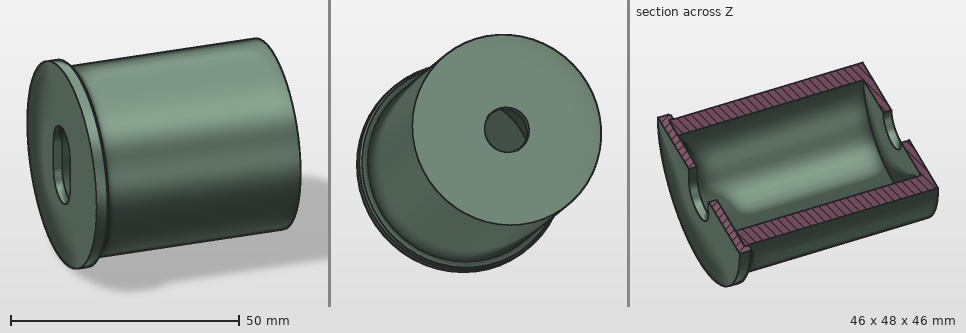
import cadquery as cq

total_length = 48.0
flange_diameter = 46.0
flange_thickness = 3.0
flange_chamfer = 0.55
face_thickness = 2.0
slot_width = 11.05
slot_height = 17.95
sleeve_diameter = 42.4
bore_diameter = 32.0
end_hole_diameter = 10.0
end_wall_thickness = 2.0


def cylinder(diameter, start, end):
    """Cylinder on the Y axis between two Y positions."""
    plane = cq.Workplane("XZ", origin=(0, start, 0))
    return plane.circle(diameter / 2).extrude(start - end)


def make_cap():
    """Flanged cap with a slot, and a rear recess that seats the sleeve."""
    flange = cylinder(flange_diameter, 0, flange_thickness)
    flange = flange.faces(">Y").edges().chamfer(flange_chamfer)
    seat = cylinder(sleeve_diameter, face_thickness, flange_thickness)
    slot = cq.Workplane("XZ").slot2D(slot_height, slot_width, 90).extrude(-face_thickness)
    return flange.cut(seat).cut(slot)


def make_sleeve():
    """Sleeve open toward the cap, with a central hole in its end wall."""
    body = cylinder(sleeve_diameter, face_thickness, total_length)
    bore = cylinder(bore_diameter, face_thickness, total_length - end_wall_thickness)
    end_hole = cylinder(end_hole_diameter, total_length - end_wall_thickness, total_length)
    return body.cut(bore).cut(end_hole)


cap = make_cap()
sleeve = make_sleeve()
result = cq.Compound.makeCompound([cap.val(), sleeve.val()])